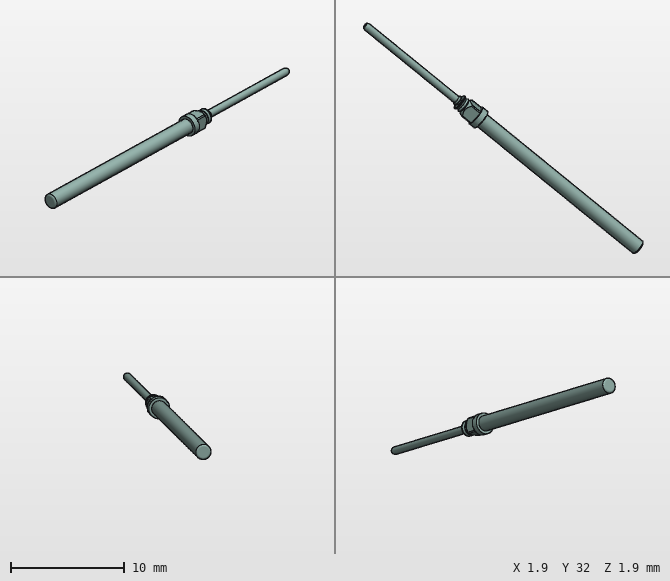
import cadquery as cq

total_length = 32.0

barrel_diameter = 1.38
barrel_radius = barrel_diameter / 2
barrel_end_radius = 0.45
barrel_end_length = 0.13
barrel_end_arc_point = (0.65, 0.05)

collar_diameter = 1.9
collar_radius = collar_diameter / 2
collar_length = 0.6
collar_start = 18.45
collar_end = collar_start + collar_length

square_width = 1.4
square_corner_radius = 0.93
square_nose_radius = 0.6
square_nose_end = 20.4
square_nose_start = square_nose_end - (square_corner_radius - square_nose_radius)

neck_rim_radius = 0.7
rib = 20.5
groove_root_radius = 0.58
groove_root = 20.7
disc_start = 20.9
disc_end = 21.0

plunger_radius = 0.35
bead_radius = 0.45
bead_start = 21.12
bead_end = 21.35
bead_middle = (bead_start + bead_end) / 2
tip_length = 0.32
tip_end_radius = 0.25
tip_inset = plunger_radius - tip_end_radius
tip_arc_radius = (tip_inset**2 + tip_length**2) / (2 * tip_inset)


def turned(outline):
    """Revolve an open (radius, y) outline, closed along the Y axis, into a solid."""
    return outline.close().revolve(360, (0, 0, 0), (0, 1, 0))


def make_barrel():
    outline = (
        cq.Workplane("XY")
        .lineTo(barrel_end_radius, 0)
        .threePointArc(barrel_end_arc_point, (barrel_radius, barrel_end_length))
        .lineTo(barrel_radius, collar_start)
        .lineTo(collar_radius, collar_start)
        .lineTo(collar_radius, collar_end)
        .lineTo(0, collar_end)
    )
    return turned(outline)


def make_square():
    outline = (
        cq.Workplane("XY")
        .moveTo(0, collar_end)
        .lineTo(square_corner_radius, collar_end)
        .lineTo(square_corner_radius, square_nose_start)
        .lineTo(square_nose_radius, square_nose_end)
        .lineTo(0, square_nose_end)
    )
    square_bar = cq.Workplane("XZ").rect(square_width, square_width).extrude(-total_length)
    return turned(outline).intersect(square_bar)


def make_neck():
    outline = (
        cq.Workplane("XY")
        .moveTo(0, square_nose_end)
        .lineTo(square_nose_radius, square_nose_end)
        .lineTo(neck_rim_radius, rib)
        .lineTo(groove_root_radius, groove_root)
        .lineTo(neck_rim_radius, disc_start)
        .lineTo(neck_rim_radius, disc_end)
        .lineTo(0, disc_end)
    )
    return turned(outline)


def make_plunger():
    tip_start = total_length - tip_length
    outline = (
        cq.Workplane("XY")
        .moveTo(0, disc_end)
        .lineTo(plunger_radius, disc_end)
        .lineTo(plunger_radius, bead_start)
        .threePointArc((bead_radius, bead_middle), (plunger_radius, bead_end))
        .lineTo(plunger_radius, tip_start)
        .radiusArc((tip_end_radius, total_length), -tip_arc_radius)
        .lineTo(0, total_length)
    )
    return turned(outline)


result = make_barrel().union(make_square()).union(make_neck()).union(make_plunger())